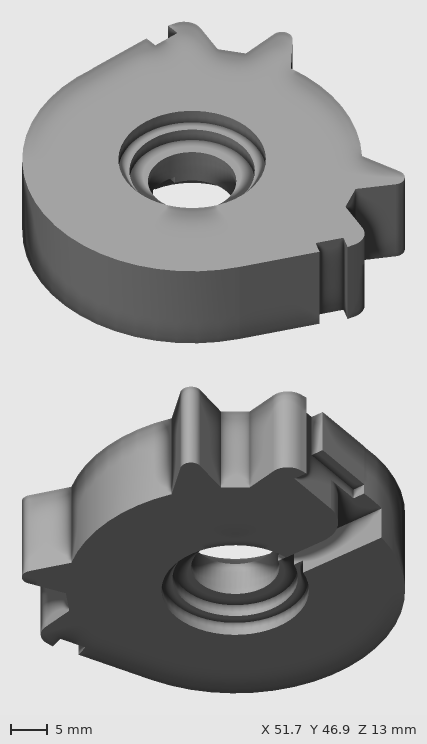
import cadquery as cq
import math

height = 13.0
disc_radius = 23.05
half_width = 25.85
side_tilt = 12.0

horn_root_inner_x = 10.25
horn_root_outer = (-15.8, 16.7)
horn_apex = (-18.7, 25.6)
horn_tip_radius = 1.45

hook_top_y = 13.75
hook_inner_x = 18.4
hook_corner_radius = 2.6

slot_floor = 21.2
slot_top = 15.25
slot_bottom = 11.3
cutter_reach = 31.0

undercut_bottom = 1.75
undercut_height = 6.45
channel_low_side = -2.35
channel_height = 4.95
channel_mouth_radius = 5.15

bore_diameter = 12.0
middle_diameter = 17.0
middle_depth = 3.95
outer_diameter = 20.0
outer_depth = 2.05


def turned_point(x, y):
    """Point given in the axes of the -X flat side, in part axes."""
    tilt = math.radians(side_tilt)
    return (
        x * math.cos(tilt) - y * math.sin(tilt),
        x * math.sin(tilt) + y * math.cos(tilt),
    )


def mirrored(point):
    return (-point[0], point[1])


def block(x_range, y_range, z_top):
    """Box standing on the bottom plane."""
    return (
        cq.Workplane("XY")
        .moveTo(x_range[0], y_range[0])
        .lineTo(x_range[1], y_range[0])
        .lineTo(x_range[1], y_range[1])
        .lineTo(x_range[0], y_range[1])
        .close()
        .extrude(z_top)
    )


def turned(solid):
    """Turn a cutter into the axes of the -X flat side."""
    return solid.rotate((0, 0, 0), (0, 0, 1), side_tilt)


def round_upright_edge(solid, point, radius):
    selector = cq.selectors.NearestToPointSelector((point[0], point[1], height / 2))
    return solid.edges("|Z").edges(selector).fillet(radius)


def make_body():
    horn_root_inner = (-horn_root_inner_x, math.sqrt(disc_radius**2 - horn_root_inner_x**2))
    hook_corner = (-half_width, hook_top_y)
    side_top = turned_point(-disc_radius, slot_bottom)
    flat_end = turned_point(-disc_radius, undercut_bottom)
    arc_start_x = -math.sqrt(disc_radius**2 - undercut_bottom**2)
    arc_start = turned_point(arc_start_x, undercut_bottom)
    right_tangent = mirrored(turned_point(-disc_radius, 0))
    left_outline = [
        horn_root_inner,
        horn_apex,
        horn_root_outer,
        (-hook_inner_x, hook_top_y),
        hook_corner,
        (-half_width, side_top[1]),
        side_top,
    ]
    right_outline = [mirrored(point) for point in reversed(left_outline)]
    body = (
        cq.Workplane("XY")
        .polyline(left_outline + [flat_end, arc_start])
        .threePointArc((0, -disc_radius), right_tangent)
    )
    for point in right_outline:
        body = body.lineTo(*point)
    body = body.threePointArc((0, disc_radius), left_outline[0]).close().extrude(height)

    for point, radius in ((horn_apex, horn_tip_radius), (hook_corner, hook_corner_radius)):
        body = round_upright_edge(body, point, radius)
        body = round_upright_edge(body, mirrored(point), radius)
    return body


def make_side_slot():
    return turned(block((-cutter_reach, -slot_floor), (slot_bottom, slot_top), height))


def make_undercut():
    return turned(block((-cutter_reach, -slot_floor), (undercut_bottom, slot_top), undercut_height))


def make_channel():
    """Channel to the bore, with its upper mouth corner rounded into the slot floor."""
    arc_centre_x = -slot_floor + channel_mouth_radius
    arc_centre_y = undercut_bottom + channel_mouth_radius
    arc_offset = channel_mouth_radius * math.sqrt(0.5)
    channel = (
        cq.Workplane("XY")
        .moveTo(0, channel_low_side)
        .lineTo(0, undercut_bottom)
        .lineTo(arc_centre_x, undercut_bottom)
        .threePointArc(
            (arc_centre_x - arc_offset, arc_centre_y - arc_offset),
            (-slot_floor, arc_centre_y),
        )
        .lineTo(-cutter_reach, arc_centre_y)
        .lineTo(-cutter_reach, channel_low_side)
        .close()
        .extrude(channel_height)
    )
    return turned(channel)


def make_bore():
    bore = cq.Workplane("XY").circle(bore_diameter / 2).extrude(height)
    for diameter, depth in ((middle_diameter, middle_depth), (outer_diameter, outer_depth)):
        recess = cq.Workplane("XY").circle(diameter / 2).extrude(depth)
        bore = bore.union(recess).union(recess.translate((0, 0, height - depth)))
    return bore


side_slot = make_side_slot()
result = (
    make_body()
    .cut(side_slot)
    .cut(side_slot.mirror("YZ"))
    .cut(make_undercut())
    .cut(make_channel())
    .cut(make_bore())
)